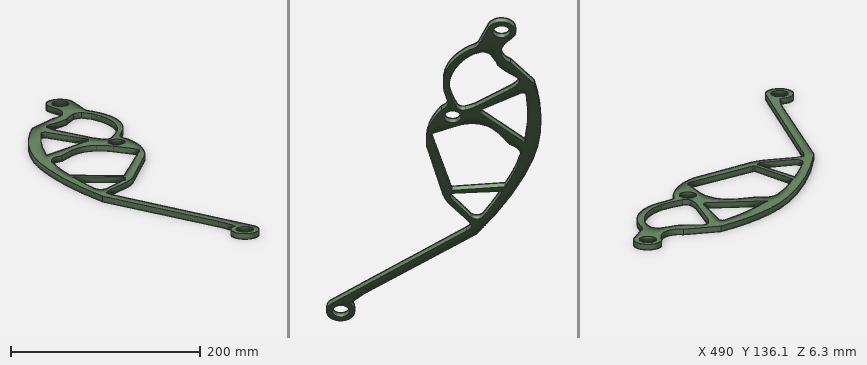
import cadquery as cq

thickness = 6.3
bore_diameter = 18.0
eye_radius = 15.0
middle_bore_x = 140.0
right_eye_x = 460.0
bore_centres = [(0, 0), (middle_bore_x, 0), (right_eye_x, 0)]

overall_height = 136.03
crown_y = 32.4
belly_y = crown_y - overall_height

outer_start = (0, eye_radius)
outer_segments = [
    ((27.0, eye_radius),),
    ((30.5, 15.5), (33.3, 17.1)),
    ((52.0, 28.3), (73.5, crown_y), (91.0, 29.8), (107.0, 22.7)),
    ((120.2, 13.6),),
    ((126.0, 11.6), (132.0, 13.0)),
    ((134.4, 14.7),),
    ((162.0, 17.2), (191.0, 9.6)),
    ((250.0, -31.3),),
    ((258.5, -38.0), (265.2, -46.0)),
    ((281.3, -73.0),),
    ((284.2, -77.1), (287.7, -80.5)),
    ((292.6, -80.1), (297.0, -78.1)),
    ((right_eye_x - eye_radius / 2, 13.0),),
    ((right_eye_x + eye_radius, 0), (446.1, -5.0)),
    ((435.0, -9.0), (424.5, -14.0)),
    ((297.5, -89.6),),
    (
        (250.8, -99.0),
        (219.0, -102.6),
        (187.2, belly_y),
        (152.8, -100.9),
        (124.8, -93.9),
        (92.5, -80.3),
        (61.6, -61.6),
    ),
    ((40.6, -26.5),),
    ((34.3, -14.2), (27.4, -10.3), (13.5, -10.6), (7.0, -13.0), (0, -eye_radius)),
    ((-eye_radius, 0), outer_start),
]

crown_window_start = (36.0, 8.0)
crown_window_segments = [
    ((43.9, 15.9),),
    ((72.2, 24.8), (104.1, 17.9)),
    ((114.8, 10.2), (124.8, 1.4)),
    ((127.2, -4.1), (125.5, -8.7)),
    ((121.6, -12.9), (117.4, -16.7)),
    ((79.0, -41.0),),
    ((72.7, -44.2), (65.8, -45.7)),
    ((61.2, -44.2), (58.7, -40.7)),
    ((56.5, -32.6),),
    ((53.3, -23.5), (49.0, -15.2)),
    ((45.1, -11.9),),
    ((36.2, -1.6),),
    ((35.5, 3.2), crown_window_start),
]

lower_window_start = (80.5, -53.0)
lower_window_segments = [
    ((117.4, -24.9),),
    ((121.0, -23.8), (124.4, -26.0)),
    ((148.8, -85.6),),
    ((113.5, -74.9), (80.5, -59.9)),
    ((78.5, -56.6), lower_window_start),
]

main_window_start = (219.0, -91.1)
main_window_segments = [
    ((244.9, -41.1),),
    ((243.6, -39.1),),
    ((178.0, 8.8),),
    ((174.0, 10.5), (170.0, 9.0)),
    ((151.5, -9.0),),
    ((145.2, -16.7), (141.7, -24.2)),
    ((139.6, -36.0), (142.3, -48.1)),
    ((146.0, -55.3),),
    ((157.0, -71.6),),
    ((158.0, -77.6),),
    ((164.2, -86.7), (174.9, -90.1)),
    ((197.0, -91.9), main_window_start),
]

tip_window_start = (226.4, -91.0)
tip_window_segments = [
    ((249.2, -42.5),),
    ((254.9, -42.9), (258.5, -47.2)),
    ((275.9, -74.9),),
    ((275.7, -82.2), (268.3, -86.6)),
    ((247.5, -89.4), tip_window_start),
]

windows = [
    (crown_window_start, crown_window_segments),
    (lower_window_start, lower_window_segments),
    (main_window_start, main_window_segments),
    (tip_window_start, tip_window_segments),
]


def plate(start, segments):
    """Extrude a closed outline of lines, arcs and curves to the lever's thickness."""
    path = cq.Workplane("XY").moveTo(*start)
    for points in segments:
        if len(points) == 1:
            path = path.lineTo(*points[0])
        elif len(points) == 2:
            path = path.threePointArc(*points)
        else:
            path = path.spline(points, includeCurrent=True)
    return path.close().extrude(thickness)


def bores():
    """Pins that cut the through bores on the X axis."""
    return cq.Workplane("XY").pushPoints(bore_centres).circle(bore_diameter / 2).extrude(thickness)


result = plate(outer_start, outer_segments)
for window_start, window_segments in windows:
    result = result.cut(plate(window_start, window_segments))
result = result.cut(bores())